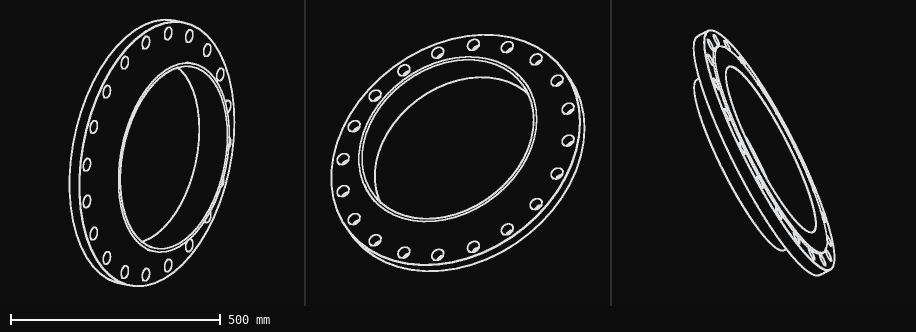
import cadquery as cq
import math

total_length = 83.0
flange_diameter = 640.0
flange_back = 34.0
rim_chamfer = 1.0

raised_face_diameter = 550.0
raised_face_root_diameter = 554.0
raised_face_height = 4.0

bore_diameter = 441.0
bore_chamfer = 1.0
neck_diameter = 457.0
hub_base_diameter = 498.0
neck_straight_length = 16.0
neck_blend_radius = 10.0
hub_base_blend_radius = 12.0

bolt_hole_count = 20
bolt_hole_diameter = 30.0
bolt_circle_diameter = 585.0


def flange_body():
    """Revolve the half section (X along the axis, Y as radius) about X."""
    bore_radius = bore_diameter / 2
    neck_radius = neck_diameter / 2
    rim_radius = flange_diameter / 2
    face_radius = raised_face_diameter / 2
    face_root_radius = raised_face_root_diameter / 2
    hub_radius = hub_base_diameter / 2

    cone_end = total_length - neck_straight_length
    cone_angle = math.atan2(hub_radius - neck_radius, cone_end - flange_back)
    cone_run = math.cos(cone_angle)
    cone_drop = math.sin(cone_angle)

    base_tangent = hub_base_blend_radius * math.tan((math.pi / 2 - cone_angle) / 2)
    neck_tangent = neck_blend_radius * math.tan(cone_angle / 2)

    base_blend_start = (flange_back, hub_radius + base_tangent)
    base_blend_end = (flange_back + base_tangent * cone_run, hub_radius - base_tangent * cone_drop)
    neck_blend_start = (cone_end - neck_tangent * cone_run, neck_radius + neck_tangent * cone_drop)
    neck_blend_end = (cone_end + neck_tangent, neck_radius)

    section = (
        cq.Workplane("XY")
        .moveTo(bore_chamfer, bore_radius)
        .lineTo(0, bore_radius + bore_chamfer)
        .lineTo(0, face_radius)
        .lineTo(raised_face_height, face_root_radius)
        .lineTo(raised_face_height, rim_radius - rim_chamfer)
        .lineTo(raised_face_height + rim_chamfer, rim_radius)
        .lineTo(flange_back - rim_chamfer, rim_radius)
        .lineTo(flange_back, rim_radius - rim_chamfer)
        .lineTo(*base_blend_start)
        .tangentArcPoint(base_blend_end, relative=False)
        .lineTo(*neck_blend_start)
        .tangentArcPoint(neck_blend_end, relative=False)
        .lineTo(total_length, neck_radius)
        .lineTo(total_length, bore_radius)
        .close()
    )
    return section.revolve(360, (0, 0, 0), (1, 0, 0))


def bolt_holes():
    """Through holes on the bolt circle, straddling the Y and Z axes."""
    half_pitch = 180 / bolt_hole_count
    return (
        cq.Workplane("YZ")
        .polarArray(bolt_circle_diameter / 2, half_pitch, 360, bolt_hole_count)
        .circle(bolt_hole_diameter / 2)
        .extrude(flange_back)
    )


result = flange_body().cut(bolt_holes())